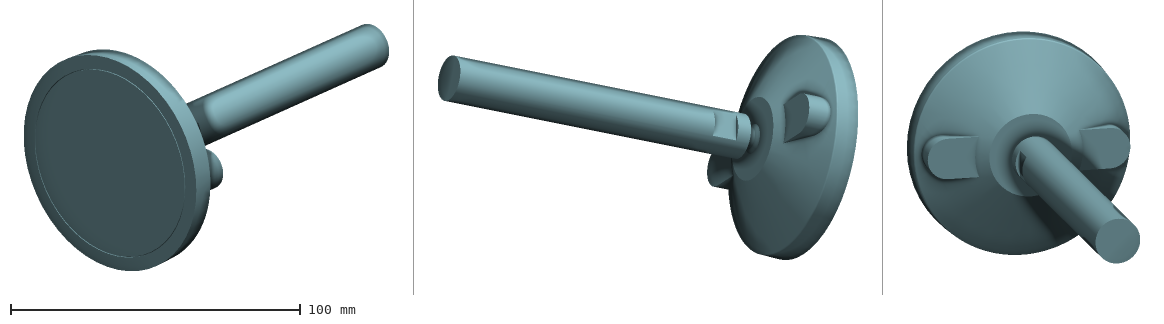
import cadquery as cq

TOTAL_LENGTH = 140.0
BASE_DIAMETER = 78.0

SHOULDER_HEIGHT = 8.1
CONE_TOP_HEIGHT = 20.0
LUG_TOP_HEIGHT = 17.8
FLARE_TOP_HEIGHT = 21.1
STUD_START_HEIGHT = 25.0
FLATS_START_HEIGHT = 30.1
FLATS_LENGTH = 9.2

SHOULDER_DIAMETER = 77.3
CONE_TOP_DIAMETER = 29.4
SHOULDER_FILLET = 0.7
GROOVE_OUTER_DIAMETER = 68.0
GROOVE_INNER_DIAMETER = 67.5
GROOVE_DEPTH = 0.7

FLARE_DIAMETER = 10.5
NECK_DIAMETER = 7.8
STUD_DIAMETER = 16.0
ACROSS_FLATS = 13.0

LUG_WIDTH = 14.4
LUG_SPAN = 72.2

BASE_Y = -TOTAL_LENGTH / 2


def plane_at(height):
    """Plane facing +Y at a height above the base face."""
    return cq.Plane(origin=(0, BASE_Y + height, 0), xDir=(1, 0, 0), normal=(0, 1, 0))


def foot():
    outline = [
        (0, BASE_Y),
        (BASE_DIAMETER / 2, BASE_Y),
        (SHOULDER_DIAMETER / 2, BASE_Y + SHOULDER_HEIGHT),
        (CONE_TOP_DIAMETER / 2, BASE_Y + CONE_TOP_HEIGHT),
        (0, BASE_Y + CONE_TOP_HEIGHT),
    ]
    body = cq.Workplane("XY").polyline(outline).close().revolve(360, (0, 0), (0, 1))
    shoulder_edge = cq.selectors.BoxSelector(
        (-BASE_DIAMETER, BASE_Y + SHOULDER_HEIGHT - SHOULDER_FILLET, -BASE_DIAMETER),
        (BASE_DIAMETER, BASE_Y + SHOULDER_HEIGHT + SHOULDER_FILLET, BASE_DIAMETER),
        boundingbox=True,
    )
    return body.edges(shoulder_edge).fillet(SHOULDER_FILLET)


def lugs():
    height = LUG_TOP_HEIGHT - SHOULDER_HEIGHT
    return cq.Workplane(plane_at(SHOULDER_HEIGHT)).slot2D(LUG_SPAN, LUG_WIDTH).extrude(height)


def base_groove():
    return (
        cq.Workplane(plane_at(0))
        .circle(GROOVE_OUTER_DIAMETER / 2)
        .circle(GROOVE_INNER_DIAMETER / 2)
        .extrude(GROOVE_DEPTH)
    )


def neck_and_stud():
    outline = [
        (0, BASE_Y + CONE_TOP_HEIGHT),
        (FLARE_DIAMETER / 2, BASE_Y + CONE_TOP_HEIGHT),
        (NECK_DIAMETER / 2, BASE_Y + FLARE_TOP_HEIGHT),
        (NECK_DIAMETER / 2, BASE_Y + STUD_START_HEIGHT),
        (STUD_DIAMETER / 2, BASE_Y + STUD_START_HEIGHT),
        (STUD_DIAMETER / 2, BASE_Y + TOTAL_LENGTH),
        (0, BASE_Y + TOTAL_LENGTH),
    ]
    return cq.Workplane("XY").polyline(outline).close().revolve(360, (0, 0), (0, 1))


def wrench_flats():
    """Blocks that cut the two wrench flats on the X sides of the stud."""
    block_offset = (ACROSS_FLATS + STUD_DIAMETER) / 2
    return (
        cq.Workplane(plane_at(FLATS_START_HEIGHT))
        .pushPoints([(-block_offset, 0), (block_offset, 0)])
        .rect(STUD_DIAMETER, STUD_DIAMETER)
        .extrude(FLATS_LENGTH)
    )


stud = neck_and_stud().cut(wrench_flats())
result = foot().union(lugs()).cut(base_groove()).union(stud)